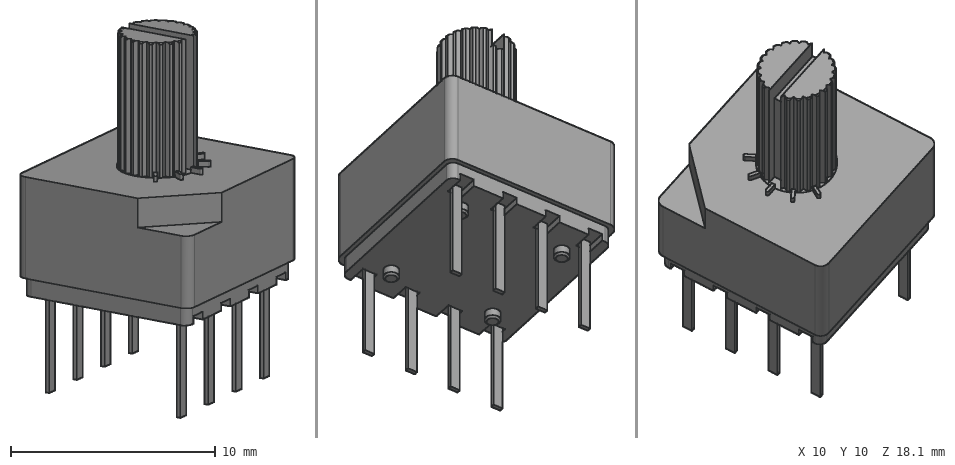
import cadquery as cq
import math

pin_length = 5.01
base_height = 0.98
housing_height = 5.21
overall_height = 18.1
base_bottom = pin_length
housing_bottom = base_bottom + base_height
housing_top = housing_bottom + housing_height

housing_side = 10.0
housing_corner_radius = 0.49
corner_step_leg = 2.99
corner_step_depth = 1.5

base_side = 9.52
base_corner_radius = 0.42

pin_width = 0.55
pin_thickness = 0.22
pin_row_x = 3.8
pin_pitch = 2.53
pins_per_row = 4
notch_width = 0.81
notch_height = 0.4

peg_diameter = 0.8
peg_height = 0.52
peg_chamfer = 0.1
peg_spacing = 6.01

tick_width = 0.18
tick_height = 0.29
tick_end_radius = 2.6
tick_angle_step = 30
tick_count = 5

shaft_diameter = 3.9
shaft_radius = shaft_diameter / 2
shaft_chamfer = 0.07
flange_diameter = 4.0
flange_radius = flange_diameter / 2
flange_thickness = 1.0
groove_count = 24
groove_root_radius = 1.75
groove_half_width = 0.18
groove_overshoot = 0.18
slot_width = 0.7
slot_depth = 1.03
keyway_floor_x = 1.4


def square_block(side, bottom, height, corner_radius):
    """Upright square block with rounded vertical edges."""
    block = cq.Workplane("XY").workplane(offset=bottom).rect(side, side).extrude(height)
    return block.edges("|Z").fillet(corner_radius)


def corner_step():
    """Triangular prism that lowers the +X, -Y corner of the housing top."""
    half = housing_side / 2
    return (
        cq.Workplane("XY")
        .workplane(offset=housing_top - corner_step_depth)
        .moveTo(half, -half)
        .lineTo(half, -half + corner_step_leg)
        .lineTo(half - corner_step_leg, -half)
        .close()
        .extrude(corner_step_depth)
    )


def position_tick(angle):
    """Raised round-ended bar pointing away from the shaft."""
    straight_end = tick_end_radius - tick_width / 2
    return (
        cq.Workplane("XY")
        .workplane(offset=housing_top)
        .moveTo(0, -tick_width / 2)
        .lineTo(straight_end, -tick_width / 2)
        .threePointArc((tick_end_radius, 0), (straight_end, tick_width / 2))
        .lineTo(0, tick_width / 2)
        .close()
        .extrude(tick_height)
        .rotate((0, 0, 0), (0, 0, 1), angle)
    )


def pegs():
    """Four round standoffs with chamfered lower rims."""
    return (
        cq.Workplane("XY")
        .workplane(offset=base_bottom)
        .rect(peg_spacing, peg_spacing, forConstruction=True)
        .vertices()
        .circle(peg_diameter / 2)
        .extrude(-peg_height)
        .faces("<Z")
        .chamfer(peg_chamfer)
    )


def pin_notch(side, y):
    """Relief from the side face of the base to the inner face of a pin."""
    inner_x = pin_row_x - pin_thickness / 2
    depth = base_side / 2 - inner_x
    return cq.Workplane("XY").box(depth, notch_width, notch_height).translate(
        (side * (inner_x + depth / 2), y, base_bottom + notch_height / 2)
    )


def pin(side, y):
    """Flat terminal pin hanging from the ceiling of its notch."""
    length = pin_length + notch_height
    return cq.Workplane("XY").box(pin_thickness, pin_width, length).translate(
        (side * pin_row_x, y, length / 2)
    )


def make_housing():
    """Housing, base, pegs, pins and ticks as one solid with a seat for the shaft flange."""
    body = square_block(housing_side, housing_bottom, housing_height, housing_corner_radius)
    body = body.cut(corner_step())
    body = body.union(square_block(base_side, base_bottom, base_height, base_corner_radius))
    body = body.union(pegs())
    for side in (-1, 1):
        for i in range(pins_per_row):
            y = (i - (pins_per_row - 1) / 2) * pin_pitch
            body = body.cut(pin_notch(side, y)).union(pin(side, y))
    for i in range(tick_count):
        angle = (i - (tick_count - 1) / 2) * tick_angle_step
        body = body.union(position_tick(angle))
    seat = (
        cq.Workplane("XY")
        .workplane(offset=housing_top - flange_thickness)
        .circle(flange_radius)
        .extrude(flange_thickness + tick_height)
    )
    return body.cut(seat)


def knurl_groove(angle):
    """V-groove running the full height of the exposed shaft."""
    run = math.sqrt(shaft_radius**2 - groove_half_width**2) - groove_root_radius
    mouth_radius = shaft_radius + groove_overshoot
    mouth_half_width = groove_half_width * (mouth_radius - groove_root_radius) / run
    return (
        cq.Workplane("XY")
        .workplane(offset=housing_top)
        .moveTo(groove_root_radius, 0)
        .lineTo(mouth_radius, mouth_half_width)
        .lineTo(mouth_radius, -mouth_half_width)
        .close()
        .extrude(overall_height - housing_top)
        .rotate((0, 0, 0), (0, 0, 1), angle)
    )


def make_shaft():
    """Knurled shaft with a screwdriver slot, a keyway on +X and a flush bottom flange."""
    shaft_length = overall_height - housing_top
    shaft = (
        cq.Workplane("XY")
        .workplane(offset=housing_top)
        .circle(shaft_radius)
        .extrude(shaft_length)
        .faces(">Z")
        .chamfer(shaft_chamfer)
    )
    for i in range(groove_count):
        shaft = shaft.cut(knurl_groove(i * 360 / groove_count))
    slot = cq.Workplane("XY").box(2 * flange_radius, slot_width, slot_depth).translate(
        (0, 0, overall_height - slot_depth / 2)
    )
    keyway_depth = flange_radius - keyway_floor_x
    keyway = cq.Workplane("XY").box(keyway_depth, slot_width, shaft_length).translate(
        (keyway_floor_x + keyway_depth / 2, 0, housing_top + shaft_length / 2)
    )
    flange = (
        cq.Workplane("XY")
        .workplane(offset=housing_top - flange_thickness)
        .circle(flange_radius)
        .extrude(flange_thickness)
    )
    return shaft.cut(slot).cut(keyway).union(flange)


housing = make_housing()
shaft = make_shaft()
result = cq.Compound.makeCompound([housing.val(), shaft.val()])